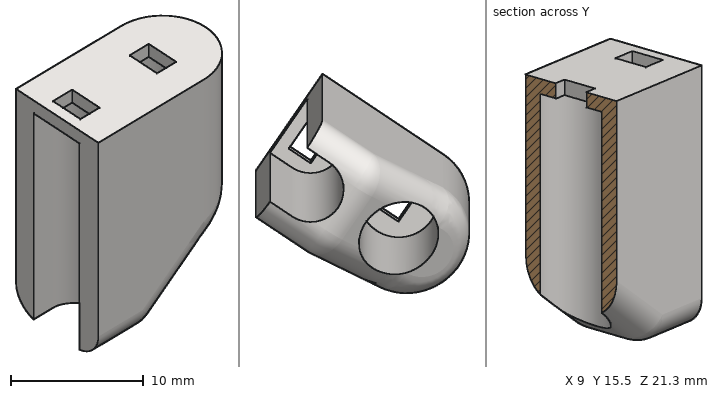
import cadquery as cq

width = 9.0
depth = 15.5
height = 21.25
flat_length = 5.5
back_height = 7.9
edge_radius = 2.5
tolerance = 0.002

top_wall = 1.25
window_spacing = 8.0
slot_centre_y = 2.0
slot_width = 5.0
slot_offset = -0.06
bore_y = slot_centre_y + window_spacing
bore_diameter = 6.0

window_width = 3.0
window_depth = 2.0
window_centres_y = (slot_centre_y, bore_y)


def make_body():
    straight_length = depth - width / 2
    plan = (
        cq.Workplane("XY")
        .moveTo(-width / 2, 0)
        .lineTo(width / 2, 0)
        .lineTo(width / 2, straight_length)
        .threePointArc((0, depth), (-width / 2, straight_length))
        .close()
        .extrude(height)
    )
    side = (
        cq.Workplane("YZ")
        .moveTo(0, 0)
        .lineTo(flat_length, 0)
        .lineTo(depth, back_height)
        .lineTo(depth, height)
        .lineTo(0, height)
        .close()
        .extrude(width / 2, both=True)
    )
    return plan.intersect(side)


def round_underside(body):
    """Round every underside edge except the one on the front face."""
    lower_edges = cq.selectors.BoxSelector(
        (-width, tolerance, -tolerance),
        (width, depth + tolerance, back_height),
    )
    return body.edges(lower_edges).fillet(edge_radius)


def make_front_slot():
    """Round-ended slot that opens through the front face."""
    half_width = slot_width / 2
    return (
        cq.Workplane("XY")
        .center(slot_offset, 0)
        .moveTo(-half_width, 0)
        .lineTo(half_width, 0)
        .lineTo(half_width, slot_centre_y)
        .threePointArc((0, slot_centre_y + half_width), (-half_width, slot_centre_y))
        .close()
        .extrude(height - top_wall)
    )


def make_rear_bore():
    return cq.Workplane("XY").center(0, bore_y).circle(bore_diameter / 2).extrude(height - top_wall)


def make_windows():
    return (
        cq.Workplane("XY", origin=(0, 0, height))
        .pushPoints([(0, y) for y in window_centres_y])
        .rect(window_width, window_depth)
        .extrude(-top_wall)
    )


body = round_underside(make_body())
result = body.cut(make_front_slot()).cut(make_rear_bore()).cut(make_windows())